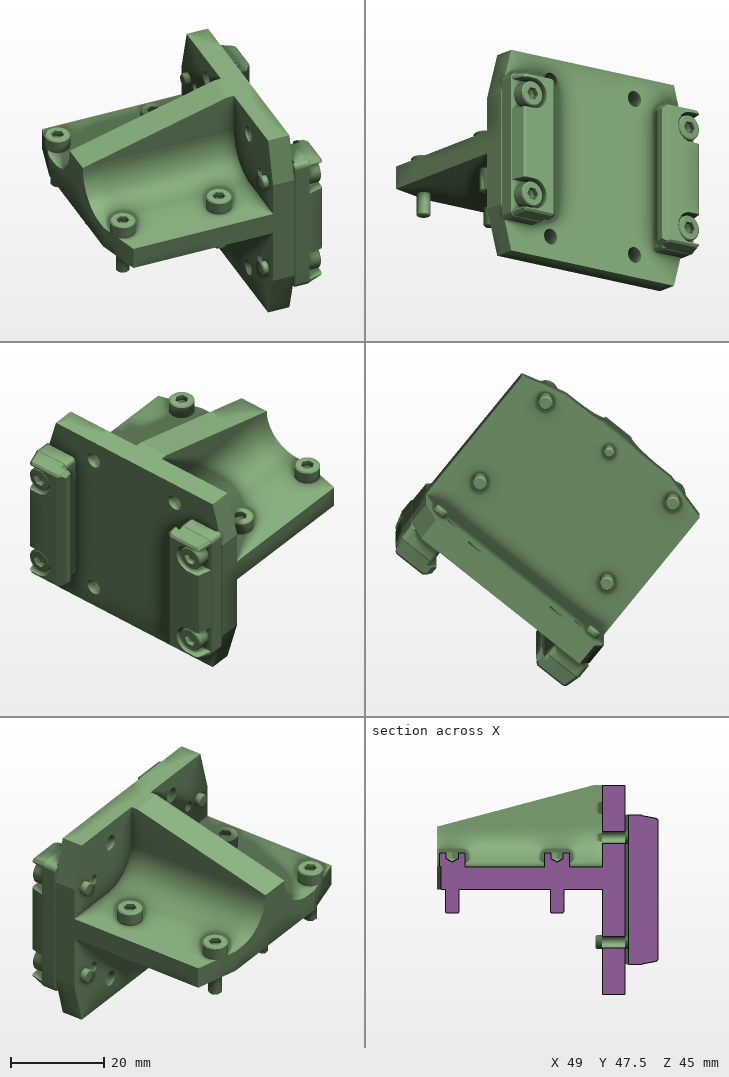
import cadquery as cq
import math

PLATE_WIDTH = 49.0
PLATE_HEIGHT = 45.0
PLATE_THICKNESS = 5.0
CORNER_LENGTH = 10.0
CORNER_ANGLE = 15.0
CORNER_RUN = CORNER_LENGTH * math.tan(math.radians(CORNER_ANGLE))

SHELF_LENGTH = 35.4
SHELF_THICKNESS = 5.0
SHELF_FRONT = -PLATE_THICKNESS - SHELF_LENGTH

RIB_WIDTH = 7.0
RIB_FILLET = 8.5
RIB_FRONT_Z = SHELF_THICKNESS + RIB_FILLET
RIB_TOP_FLAT = 1.5

ROW_PITCH = 22.5
MOUNT_HOLE_DIAMETER = 3.5
MOUNT_HOLE_Z = 17.5
TAPPED_HOLE_DIAMETER = 2.46
TAPPED_HOLE_X = 17.5
CLIP_SCREW_X = 21.0
SHELF_SCREW_X = 17.5
SHELF_SCREW_FRONT_Y = SHELF_FRONT + 3.25

SHANK_DIAMETER = 3.0
SHANK_LENGTH = 10.0
SHANK_TIP_CHAMFER = 0.27
HEAD_DIAMETER = 5.5
HEAD_HEIGHT = 3.0
HEAD_CHAMFER = 0.25
SOCKET_ACROSS_FLATS = 2.5
SOCKET_DEPTH = 1.3
SOCKET_CONE_DEPTH = 0.7

PIN_DIAMETER = 2.2
PIN_LENGTH = 4.2
PIN_CHAMFER = 0.3

CLIP_LENGTH = 32.2
CLIP_OUTER_X = PLATE_WIDTH / 2
BASE_WIDTH = 8.6
BASE_INNER_X = CLIP_OUTER_X - BASE_WIDTH
BASE_GAP = 0.6
BASE_TOP_Y = 3.65
BASE_OUTER_FILLET = 1.2
BASE_INNER_FILLET = 1.0
BASE_EDGE_CHAMFER = 0.15
LIP_WIDTH = 1.1
LIP_GAP = 0.1
JAW_TOP_Y = 7.1
JAW_INSET = 0.15
JAW_TOP_OUTER_X = CLIP_OUTER_X - 1.05
JAW_END_TAPER = 0.8
JAW_EDGE_CHAMFER = 0.4
JAW_CORNER_CHAMFER = 0.6
HOOK_REACH = 1.55
HOOK_TIP_TOP_Y = 5.7
HOOK_TIP_BOTTOM_Y = 4.1
HOOK_TOOTH_WIDTH = 0.5
HOOK_UNDERSIDE_Y = 4.55
HOOK_ROOT_Y = 4.85
HOOK_ROOT_DEPTH = 0.6
HOOK_CORNER_CHAMFER = 1.0
SCREW_POCKET_RADIUS = 3.35


def mirrored(value):
    """Return the value with both signs."""
    return (-value, value)


def make_plate():
    half_width = PLATE_WIDTH / 2
    half_height = PLATE_HEIGHT / 2
    half_edge = half_width - CORNER_RUN
    corner_z = half_height - CORNER_LENGTH
    outline = [
        (-half_edge, -half_height),
        (half_edge, -half_height),
        (half_width, -corner_z),
        (half_width, corner_z),
        (half_edge, half_height),
        (-half_edge, half_height),
        (-half_width, corner_z),
        (-half_width, -corner_z),
    ]
    return cq.Workplane("XZ").polyline(outline).close().extrude(PLATE_THICKNESS)


def make_shelf():
    half_width = PLATE_WIDTH / 2
    half_front = half_width - CORNER_LENGTH
    outline = [
        (-half_width, -PLATE_THICKNESS),
        (half_width, -PLATE_THICKNESS),
        (half_width, SHELF_FRONT + CORNER_RUN),
        (half_front, SHELF_FRONT),
        (-half_front, SHELF_FRONT),
        (-half_width, SHELF_FRONT + CORNER_RUN),
    ]
    return cq.Workplane("XY").polyline(outline).close().extrude(SHELF_THICKNESS)


def make_rib():
    """Cross-section with concave flanks, trimmed by the sloping side outline."""
    half_rib = RIB_WIDTH / 2
    half_foot = half_rib + RIB_FILLET
    top_z = PLATE_HEIGHT / 2
    arc_offset = RIB_FILLET * (1 - math.sqrt(0.5))
    arc_x = half_rib + arc_offset
    arc_z = SHELF_THICKNESS + arc_offset
    section = (
        cq.Workplane("XZ", origin=(0, -PLATE_THICKNESS, 0))
        .moveTo(-half_foot, SHELF_THICKNESS)
        .lineTo(half_foot, SHELF_THICKNESS)
        .threePointArc((arc_x, arc_z), (half_rib, RIB_FRONT_Z))
        .lineTo(half_rib, top_z)
        .lineTo(-half_rib, top_z)
        .lineTo(-half_rib, RIB_FRONT_Z)
        .threePointArc((-arc_x, arc_z), (-half_foot, SHELF_THICKNESS))
        .close()
        .extrude(SHELF_LENGTH)
    )
    side_outline = [
        (-PLATE_THICKNESS, SHELF_THICKNESS),
        (SHELF_FRONT, SHELF_THICKNESS),
        (SHELF_FRONT, RIB_FRONT_Z),
        (-PLATE_THICKNESS - RIB_TOP_FLAT, top_z),
        (-PLATE_THICKNESS, top_z),
    ]
    side = cq.Workplane("YZ").polyline(side_outline).close().extrude(half_foot, both=True)
    return section.intersect(side)


def make_plate_holes():
    row_z = ROW_PITCH / 2
    mount_points = [(x, z) for x in mirrored(row_z) for z in mirrored(MOUNT_HOLE_Z)]
    tapped_points = [(x, z) for x in mirrored(TAPPED_HOLE_X) for z in mirrored(row_z)]
    mount_holes = (
        cq.Workplane("XZ").pushPoints(mount_points).circle(MOUNT_HOLE_DIAMETER / 2).extrude(PLATE_THICKNESS)
    )
    tapped_holes = (
        cq.Workplane("XZ").pushPoints(tapped_points).circle(TAPPED_HOLE_DIAMETER / 2).extrude(PLATE_THICKNESS)
    )
    return mount_holes.union(tapped_holes)


def make_screw():
    """Socket head screw pointing down, with the underside of its head on Z = 0."""
    head = cq.Workplane("XY").circle(HEAD_DIAMETER / 2).extrude(HEAD_HEIGHT)
    head = head.faces(">Z").chamfer(HEAD_CHAMFER)
    shank = cq.Workplane("XY").circle(SHANK_DIAMETER / 2).extrude(-SHANK_LENGTH)
    shank = shank.faces("<Z").chamfer(SHANK_TIP_CHAMFER)
    socket_floor = HEAD_HEIGHT - SOCKET_DEPTH
    socket_corners = SOCKET_ACROSS_FLATS / math.cos(math.pi / 6)
    socket = (
        cq.Workplane("XY", origin=(0, 0, socket_floor)).polygon(6, socket_corners).extrude(SOCKET_DEPTH)
    )
    cone = cq.Workplane(
        cq.Solid.makeCone(
            SOCKET_ACROSS_FLATS / 2,
            0,
            SOCKET_CONE_DEPTH,
            pnt=cq.Vector(0, 0, socket_floor),
            dir=cq.Vector(0, 0, -1),
        )
    )
    return head.union(shank).cut(socket).cut(cone)


def make_pin():
    pin = (
        cq.Workplane("XY", origin=(0, SHELF_SCREW_FRONT_Y, 0)).circle(PIN_DIAMETER / 2).extrude(-PIN_LENGTH)
    )
    return pin.faces("<Z").chamfer(PIN_CHAMFER)


def make_clip_base():
    """Base block of the +X clip, with a lip along its outer edge."""
    base = cq.Workplane("XY").box(BASE_WIDTH, BASE_TOP_Y - LIP_GAP, CLIP_LENGTH)
    base = base.translate((BASE_INNER_X + BASE_WIDTH / 2, (BASE_TOP_Y + LIP_GAP) / 2, 0))
    base = base.edges("|Y and >X").fillet(BASE_OUTER_FILLET)
    base = base.edges("|Y and <X").fillet(BASE_INNER_FILLET)
    base = base.faces("<Y or >Y").chamfer(BASE_EDGE_CHAMFER)
    riser_inner_half = CLIP_LENGTH / 2 - BASE_INNER_FILLET
    riser_outer_half = riser_inner_half + HOOK_ROOT_DEPTH
    root_x = BASE_INNER_X + HOOK_ROOT_DEPTH
    riser_outline = [
        (BASE_INNER_X, -riser_inner_half),
        (root_x, -riser_outer_half),
        (root_x, riser_outer_half),
        (BASE_INNER_X, riser_inner_half),
    ]
    riser = cq.Workplane("XZ", origin=(0, BASE_TOP_Y - BASE_EDGE_CHAMFER, 0)).polyline(riser_outline).close()
    base = base.union(riser.extrude(BASE_TOP_Y - BASE_EDGE_CHAMFER - HOOK_ROOT_Y))
    relief = cq.Workplane("XY").box(
        BASE_WIDTH - LIP_WIDTH, BASE_GAP - LIP_GAP, CLIP_LENGTH, centered=(False, False, True)
    )
    return base.cut(relief.translate((BASE_INNER_X, LIP_GAP, 0)))


def make_clip_jaw():
    """Hooked jaw of the +X clip, with tapered ends and chamfered edges."""
    tip_x = BASE_INNER_X - HOOK_REACH
    root_x = BASE_INNER_X + HOOK_ROOT_DEPTH
    outline = [
        (CLIP_OUTER_X - JAW_INSET, BASE_TOP_Y),
        (JAW_TOP_OUTER_X, JAW_TOP_Y),
        (tip_x + JAW_TOP_Y - HOOK_TIP_TOP_Y, JAW_TOP_Y),
        (tip_x, HOOK_TIP_TOP_Y),
        (tip_x, HOOK_TIP_BOTTOM_Y),
        (tip_x + HOOK_TOOTH_WIDTH, HOOK_TIP_BOTTOM_Y),
        (tip_x + 2 * HOOK_TOOTH_WIDTH, HOOK_UNDERSIDE_Y),
        (root_x, HOOK_ROOT_Y),
        (root_x, BASE_TOP_Y),
    ]
    half_length = CLIP_LENGTH / 2
    jaw = cq.Workplane("XY").polyline(outline).close().extrude(half_length, both=True)
    bottom_half = half_length - JAW_INSET
    top_half = half_length - JAW_END_TAPER
    end_outline = [
        (BASE_TOP_Y, -bottom_half),
        (JAW_TOP_Y, -top_half),
        (JAW_TOP_Y, top_half),
        (BASE_TOP_Y, bottom_half),
    ]
    ends = cq.Workplane("YZ").polyline(end_outline).close().extrude(CLIP_OUTER_X)
    jaw = jaw.intersect(ends)
    side_mid_y = (BASE_TOP_Y + JAW_TOP_Y) / 2
    slope_mid_x = tip_x + (JAW_TOP_Y - HOOK_TIP_TOP_Y) / 2
    slope_mid_y = (JAW_TOP_Y + HOOK_TIP_TOP_Y) / 2
    tip_mid_y = (HOOK_TIP_TOP_Y + HOOK_TIP_BOTTOM_Y) / 2
    for end in (-1, 1):
        outer_corner = cq.selectors.NearestToPointSelector((CLIP_OUTER_X, side_mid_y, end * half_length))
        jaw = jaw.edges(outer_corner).chamfer(JAW_CORNER_CHAMFER)
    rim = jaw.faces(">Y").edges("not <X")
    for end in (-1, 1):
        slope_edge = cq.selectors.NearestToPointSelector((slope_mid_x, slope_mid_y, end * top_half))
        rim = rim.add(jaw.edges(slope_edge))
    jaw = rim.chamfer(JAW_EDGE_CHAMFER)
    for end in (-1, 1):
        tip_edge = cq.selectors.NearestToPointSelector((tip_x, tip_mid_y, end * half_length))
        jaw = jaw.edges(tip_edge).chamfer(HOOK_CORNER_CHAMFER)
    return jaw


def make_screw_pockets():
    """U-shaped openings in the jaw, open to the outside, around the clip screw heads."""
    depth = JAW_TOP_Y - BASE_TOP_Y
    points = [(CLIP_SCREW_X, z) for z in mirrored(ROW_PITCH / 2)]
    rounds = cq.Workplane("XZ", origin=(0, BASE_TOP_Y, 0)).pushPoints(points)
    rounds = rounds.circle(SCREW_POCKET_RADIUS).extrude(-depth)
    reach = CLIP_OUTER_X - CLIP_SCREW_X
    mouth_points = [(x + reach / 2, z) for x, z in points]
    mouths = cq.Workplane("XZ", origin=(0, BASE_TOP_Y, 0)).pushPoints(mouth_points)
    mouths = mouths.rect(reach, 2 * SCREW_POCKET_RADIUS).extrude(-depth)
    return rounds.union(mouths)


def make_clip():
    """Complete +X clip with its two screws."""
    clip = make_clip_base().union(make_clip_jaw()).cut(make_screw_pockets())
    screw = make_screw().rotate((0, 0, 0), (1, 0, 0), -90)
    for z in mirrored(ROW_PITCH / 2):
        clip = clip.union(screw.translate((CLIP_SCREW_X, BASE_TOP_Y, z)))
    return clip


bracket = make_plate().union(make_shelf()).union(make_rib()).cut(make_plate_holes())

for screw_x in mirrored(SHELF_SCREW_X):
    for screw_y in (SHELF_SCREW_FRONT_Y, SHELF_SCREW_FRONT_Y + ROW_PITCH):
        bracket = bracket.union(make_screw().translate((screw_x, screw_y, SHELF_THICKNESS)))

bracket = bracket.union(make_pin())

right_clip = make_clip()
left_clip = right_clip.mirror("YZ")
result = bracket.union(right_clip).union(left_clip)